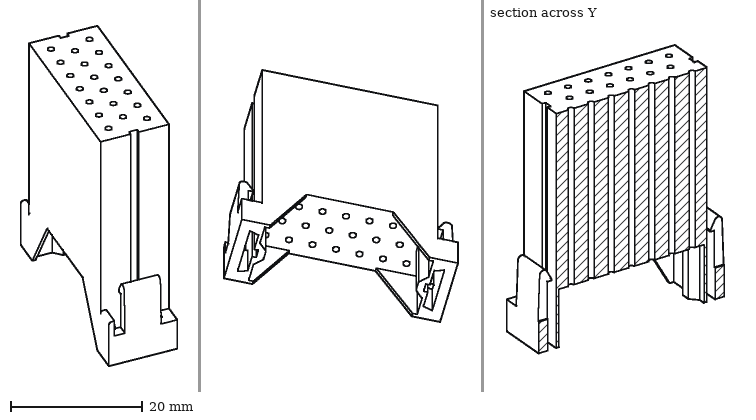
import cadquery as cq

WIDTH = 34.0
DEPTH = 11.4
HEIGHT = 40.4

BODY_WIDTH = 27.65
WALL = 0.55
GROOVE_WIDTH = 1.37
GROOVE_DEPTH = 0.65

NOTCH_HEIGHT = 9.98
NOTCH_TOP_WIDTH = 13.65
NOTCH_BOTTOM_WIDTH = 25.05

RIB_HEIGHT = 1.25
RIB_TOP_WIDTH = 1.6

FOOT_HEIGHT = 5.5
LIP_TOP = 8.32
LIP_THICKNESS = 0.93
LIP_RADIUS = 0.5
WINDOW_OUTER_WIDTH = 7.75
WINDOW_INNER_WIDTH = 6.9

CLIP_WIDTH = 6.0
CLIP_THICKNESS = 1.7
CLIP_TOP = 13.98
CLIP_DRAFT = 0.3
CLIP_SHOULDER_Z = 13.25
HOOK_REACH = 0.75
HOOK_BOTTOM = 11.8
HOOK_TIP_HEIGHT = 0.25
CLIP_CREST_INSET = 1.0
CLIP_CREST_WIDTH = 0.55
CLIP_CREST_DROP = 0.3

HOLE_DIAMETER = 1.0
HOLE_PITCH = 3.695
ROW_PITCH = 3.2
ROW_COUNTS = (7, 6, 7)

HALF_WIDTH = WIDTH / 2
HALF_BODY = BODY_WIDTH / 2
HALF_DEPTH = DEPTH / 2
CLIP_INNER_X = HALF_WIDTH - CLIP_THICKNESS


def box(x_min, x_max, y_min, y_max, z_min, z_max):
    size = (x_max - x_min, y_max - y_min, z_max - z_min)
    return cq.Workplane("XY").box(*size, centered=False).translate((x_min, y_min, z_min))


def both_sides(shape):
    return shape.union(shape.mirror("YZ"))


def make_lip():
    """Rounded front lip of the right foot."""
    front = -HALF_DEPTH
    lip = box(HALF_BODY, HALF_WIDTH, front, front + LIP_THICKNESS, 0, LIP_TOP)
    return lip.faces("<Y").edges(">Z").fillet(LIP_RADIUS)


def make_window():
    """Opening through the right foot, tapering in depth toward the housing."""
    outer = WINDOW_OUTER_WIDTH / 2
    inner = WINDOW_INNER_WIDTH / 2
    points = [(HALF_BODY, -inner), (CLIP_INNER_X, -outer), (CLIP_INNER_X, outer), (HALF_BODY, inner)]
    return cq.Workplane("XY").polyline(points).close().extrude(FOOT_HEIGHT)


def make_clip():
    """Drafted snap clip of the right foot with a rounded crest and an inward hook."""
    back_x = HALF_WIDTH - CLIP_DRAFT
    crest_x = HALF_WIDTH - CLIP_CREST_INSET
    slope_start_x = crest_x - CLIP_CREST_WIDTH
    tip_x = CLIP_INNER_X - HOOK_REACH
    profile = (
        cq.Workplane("XZ")
        .moveTo(CLIP_INNER_X, 0)
        .lineTo(HALF_WIDTH, 0)
        .lineTo(HALF_WIDTH, FOOT_HEIGHT)
        .lineTo(back_x, CLIP_SHOULDER_Z)
        .threePointArc((crest_x, CLIP_TOP), (slope_start_x, CLIP_TOP - CLIP_CREST_DROP))
        .lineTo(tip_x, HOOK_BOTTOM + HOOK_TIP_HEIGHT)
        .lineTo(tip_x, HOOK_BOTTOM)
        .lineTo(CLIP_INNER_X, HOOK_BOTTOM)
        .close()
    )
    return profile.extrude(CLIP_WIDTH / 2, both=True)


def make_notch():
    """Trapezoid cut through the full depth, between the legs."""
    top = NOTCH_TOP_WIDTH / 2
    bottom = NOTCH_BOTTOM_WIDTH / 2
    points = [(-bottom, 0), (bottom, 0), (top, NOTCH_HEIGHT), (-top, NOTCH_HEIGHT)]
    return cq.Workplane("XZ").polyline(points).close().extrude(HALF_DEPTH, both=True)


def make_rib():
    """Vertical rib with 45-degree flanks on the inner face of the right leg."""
    wall_x = HALF_BODY - WALL
    rib_x = wall_x - RIB_HEIGHT
    top = RIB_TOP_WIDTH / 2
    base = top + RIB_HEIGHT
    points = [(wall_x, -base), (rib_x, -top), (rib_x, top), (wall_x, base)]
    return cq.Workplane("XY").polyline(points).close().extrude(NOTCH_HEIGHT)


def make_cavity():
    """Space between the front and back walls, around the leg ribs."""
    wall_x = HALF_BODY - WALL
    wall_y = HALF_DEPTH - WALL
    cavity = box(-wall_x, wall_x, -wall_y, wall_y, 0, NOTCH_HEIGHT)
    return cavity.cut(both_sides(make_rib()))


def make_groove():
    """Vertical groove along the right side of the housing."""
    half = GROOVE_WIDTH / 2
    return box(HALF_BODY - GROOVE_DEPTH, HALF_BODY, -half, half, 0, HEIGHT)


def make_contact_holes():
    """Three staggered rows of through holes."""
    points = []
    for row, count in enumerate(ROW_COUNTS):
        y = (row - 1) * ROW_PITCH
        for column in range(count):
            points.append(((column - (count - 1) / 2) * HOLE_PITCH, y))
    return cq.Workplane("XY").pushPoints(points).circle(HOLE_DIAMETER / 2).extrude(HEIGHT)


housing = box(-HALF_BODY, HALF_BODY, -HALF_DEPTH, HALF_DEPTH, 0, HEIGHT)
housing = housing.cut(make_notch().cut(both_sides(make_rib()))).cut(make_cavity())
housing = housing.cut(both_sides(make_groove())).cut(make_contact_holes())

foot = box(HALF_BODY, HALF_WIDTH, -HALF_DEPTH, HALF_DEPTH, 0, FOOT_HEIGHT)
foot = foot.union(make_lip()).cut(make_window()).union(make_clip())

result = housing.union(foot).union(foot.mirror("YZ"))